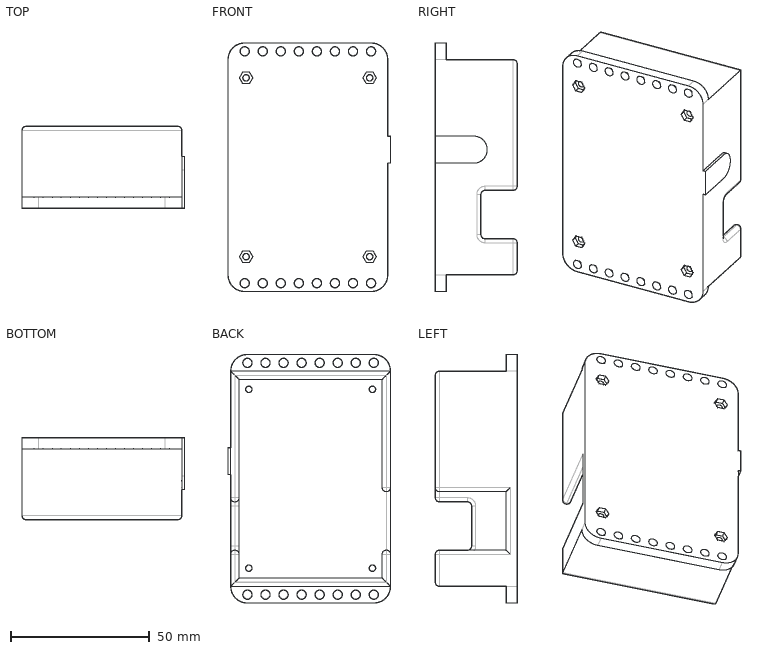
import cadquery as cq

plate_width = 57.55
plate_height = 89.5
plate_thickness = 4.0
plate_corner_radius = 6.0

total_depth = 29.5
flange_height = plate_corner_radius
wall = 3.0
rim_crown = 0.03
rim_radius = (wall - rim_crown) / 2
box_height = plate_height - 2 * flange_height
outer_x = plate_width / 2
inner_x = outer_x - wall

opening_bottom = -25.7
left_opening_top = -4.65
right_opening_top = -8.3
right_opening_floor = 16.5
right_opening_corner_radius = rim_radius

flange_hole_diameter = 3.2
flange_hole_count = 8
flange_hole_row_length = 45.5
flange_hole_inset = 3.0

screw_diameter = 2.2
screw_spacing_x = 44.5
screw_spacing_z = 64.35
nut_across_corners = 4.8
nut_depth = 2.0

pad_thickness = 1.0
pad_width = 9.8
pad_length = 18.7
pad_center_z = 6.35

tolerance = 0.01


def outer_face():
    """Sketch plane on the outer face; negative extrusions go into the part (+Y)."""
    return cq.Workplane("XZ")


def block(x_range, y_range, z_range):
    """Rectangular block between the given limits."""
    lows, highs = zip(x_range, y_range, z_range)
    sizes = [high - low for low, high in zip(lows, highs)]
    return cq.Workplane("XY").box(*sizes, centered=False).translate(lows)


def make_box():
    """Plain box with a solid back as thick as the plate."""
    box = outer_face().rect(plate_width, box_height).extrude(-total_depth)
    cavity = block(
        (-inner_x, inner_x),
        (plate_thickness, total_depth),
        (-box_height / 2 + wall, box_height / 2 - wall),
    )
    return box.cut(cavity)


def cut_openings(box):
    """Cut the -X wall down to the plate and the +X wall part of the way."""
    left = block(
        (-outer_x, -inner_x), (plate_thickness, total_depth), (opening_bottom, left_opening_top)
    )
    right = block(
        (inner_x, outer_x), (right_opening_floor, 2 * total_depth), (opening_bottom, right_opening_top)
    )
    right = right.edges("|X and <Y").fillet(right_opening_corner_radius)
    return box.cut(left).cut(right)


def edges_on_wall_face(box, x, y_min, z_max):
    """Edges of an opening that lie on the wall face at x, leaving out the rim."""
    region = cq.selectors.BoxSelector(
        (x - tolerance, y_min, opening_bottom - tolerance),
        (x + tolerance, total_depth - tolerance, z_max + tolerance),
    )
    return box.edges(region).vals()


def round_free_edges(box):
    """Round both sides of the rim and of the openings."""
    edges = box.faces(">Y").edges().vals()
    edges += edges_on_wall_face(box, -outer_x, plate_thickness - tolerance, left_opening_top)
    edges += edges_on_wall_face(box, -inner_x, plate_thickness + tolerance, left_opening_top)
    for x in (inner_x, outer_x):
        edges += edges_on_wall_face(box, x, right_opening_floor - tolerance, right_opening_top)
    return box.newObject(edges).fillet(rim_radius)


def make_flanges():
    """The two strips of the plate above and below the box, with rounded outer corners."""
    plate = outer_face().rect(plate_width, plate_height).extrude(-plate_thickness)
    plate = plate.edges("|Y").fillet(plate_corner_radius)
    box_footprint = outer_face().rect(plate_width, box_height).extrude(-plate_thickness)
    return plate.cut(box_footprint)


def make_pad():
    """Thin pad on the +X wall, square at the outer face and half-round at its far end."""
    radius = pad_width / 2
    straight = pad_length - radius
    return (
        cq.Workplane("YZ", origin=(outer_x, 0, pad_center_z))
        .moveTo(0, -radius)
        .lineTo(straight, -radius)
        .threePointArc((pad_length, 0), (straight, radius))
        .lineTo(0, radius)
        .close()
        .extrude(pad_thickness)
    )


def make_flange_holes():
    pitch = flange_hole_row_length / (flange_hole_count - 1)
    row_spacing = plate_height - 2 * flange_hole_inset
    return (
        outer_face()
        .rarray(pitch, row_spacing, flange_hole_count, 2)
        .circle(flange_hole_diameter / 2)
        .extrude(-plate_thickness)
    )


def make_screw_holes():
    places = outer_face().rarray(screw_spacing_x, screw_spacing_z, 2, 2)
    holes = places.circle(screw_diameter / 2).extrude(-plate_thickness)
    pockets = places.polygon(6, nut_across_corners).extrude(-nut_depth)
    return holes.union(pockets)


body = round_free_edges(cut_openings(make_box()))
body = body.union(make_flanges()).union(make_pad())
result = body.cut(make_flange_holes()).cut(make_screw_holes())